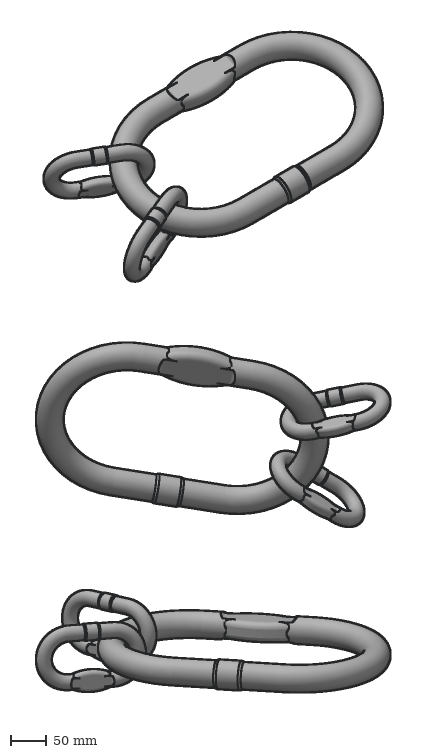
import cadquery as cq
import math

MASTER_BAR = 40.0
MASTER_INNER_WIDTH = 180.0
MASTER_STRAIGHT = 160.0

SUB_BAR = 23.0
SUB_INNER_WIDTH = 50.0
SUB_STRAIGHT = 65.0
SUB_TILT = 25.0
SUB_OFFSET_X = 68.5
SUB_OFFSET_Y = -209.15
SUB_OFFSET_Z = 1.85

COLLAR_DIAMETER = 1.075
COLLAR_LENGTH = 1.0
COLLAR_BEVEL = 0.105
FLAT_HEIGHT = 0.375
FLAT_LENGTH = 2.52
RAMP_LENGTH = 0.12
RAMP_FILLET = 0.125
SWELL_LENGTH = 2.35
SWELL_HALF_WIDTH = 0.6975
SWELL_ARC_RADIUS = 3.125
SWELL_FILLET = 0.25


def bar_ring(bar, inner_width, straight):
    """Round bar swept as two straight legs joined by two half-circle bends."""
    bend_radius = (inner_width + bar) / 2
    path = (
        cq.Workplane("XY")
        .moveTo(bend_radius, -straight / 2)
        .lineTo(bend_radius, straight / 2)
        .threePointArc((0, straight / 2 + bend_radius), (-bend_radius, straight / 2))
        .lineTo(-bend_radius, -straight / 2)
        .threePointArc((0, -straight / 2 - bend_radius), (bend_radius, -straight / 2))
        .close()
    )
    start = cq.Workplane("XZ", origin=(bend_radius, -straight / 2, 0))
    return start.circle(bar / 2).sweep(path)


def weld_collar(bar):
    """Raised band around a leg, bevelled down to the bar at both ends; axis along Y."""
    half_length = COLLAR_LENGTH * bar / 2
    half_crown = half_length - COLLAR_BEVEL * bar
    profile = [
        (0, -half_length),
        (bar / 2, -half_length),
        (COLLAR_DIAMETER * bar / 2, -half_crown),
        (COLLAR_DIAMETER * bar / 2, half_crown),
        (bar / 2, half_length),
        (0, half_length),
    ]
    return cq.Workplane("XY").polyline(profile).close().revolve(360, (0, 0, 0), (0, 1, 0))


def flat_cutter(bar):
    """Tool that presses a flat into the +Z side of a leg, with a blended ramp at each end."""
    half_flat = FLAT_LENGTH * bar / 2
    half_open = half_flat + RAMP_LENGTH * bar
    floor = FLAT_HEIGHT * bar
    profile = [
        (-half_flat, floor),
        (half_flat, floor),
        (half_open, bar / 2),
        (half_open, bar),
        (-half_open, bar),
        (-half_open, bar / 2),
    ]
    tool = cq.Workplane("YZ").polyline(profile).close().extrude(bar, both=True)
    return tool.faces("<Z").edges("|X").fillet(RAMP_FILLET * bar)


def swell(bar):
    """Metal squeezed sideways by the flats: a bowed slab with rounded long edges."""
    half_length = SWELL_LENGTH * bar / 2
    half_width = SWELL_HALF_WIDTH * bar
    arc_radius = SWELL_ARC_RADIUS * bar
    end_half_width = half_width - arc_radius + math.sqrt(arc_radius**2 - half_length**2)
    return (
        cq.Workplane("XY")
        .moveTo(-end_half_width, -half_length)
        .lineTo(end_half_width, -half_length)
        .threePointArc((half_width, 0), (end_half_width, half_length))
        .lineTo(-end_half_width, half_length)
        .threePointArc((-half_width, 0), (-end_half_width, -half_length))
        .close()
        .extrude(FLAT_HEIGHT * bar, both=True)
        .edges("(>Z or <Z) and (%CIRCLE)")
        .fillet(SWELL_FILLET * bar)
    )


def link(bar, inner_width, straight):
    """Complete link with its weld collar on the +X leg and its flattened swell on the -X leg."""
    leg_x = (inner_width + bar) / 2
    top_cutter = flat_cutter(bar).translate((-leg_x, 0, 0))
    bottom_cutter = top_cutter.mirror("XY")
    return (
        bar_ring(bar, inner_width, straight)
        .union(weld_collar(bar).translate((leg_x, 0, 0)))
        .cut(top_cutter)
        .cut(bottom_cutter)
        .union(swell(bar).translate((-leg_x, 0, 0)))
    )


def sub_link(side):
    """Sub-link stood on edge (collar up), splayed away from the YZ plane; side is -1 or +1."""
    return (
        link(SUB_BAR, SUB_INNER_WIDTH, SUB_STRAIGHT)
        .rotate((0, 0, 0), (0, 1, 0), -90)
        .rotate((0, 0, 0), (0, 0, 1), side * SUB_TILT)
        .translate((side * SUB_OFFSET_X, SUB_OFFSET_Y, SUB_OFFSET_Z))
    )


master_link = link(MASTER_BAR, MASTER_INNER_WIDTH, MASTER_STRAIGHT)
sub_links = [sub_link(side) for side in (-1, 1)]

result = cq.Compound.makeCompound([master_link.val(), *[body.val() for body in sub_links]])